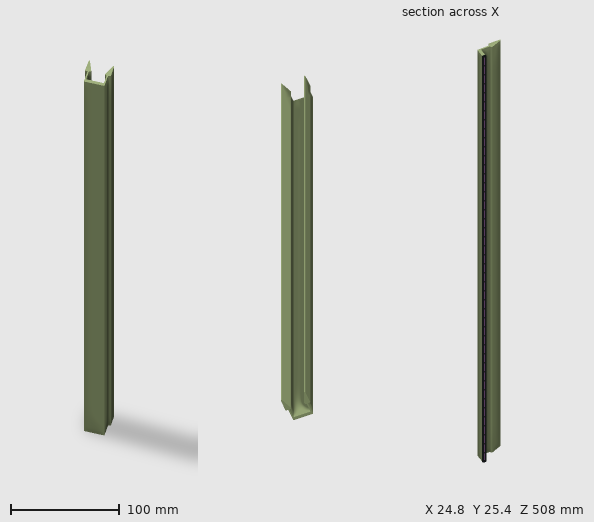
import math

import cadquery as cq

LENGTH = 508.0
OVERALL_WIDTH = 24.82
OVERALL_DEPTH = 25.4

CHANNEL_WIDTH = 19.74
WALL_THICKNESS = 1.37
BASE_THICKNESS = 3.16

BARB_HEIGHT = 12.72
BARB_WIDTH = 5.72
OUTER_FOOT_RADIUS = 0.59
INNER_FOOT_RADIUS = 1.19
TIP_RADIUS = 0.58
TIP_SETBACK = 0.22

base_y = -OVERALL_DEPTH / 2
floor_y = base_y + BASE_THICKNESS
tip_y = OVERALL_DEPTH / 2
shoulder_y = tip_y - BARB_HEIGHT
wall_top_y = shoulder_y + INNER_FOOT_RADIUS
wall_outer_x = CHANNEL_WIDTH / 2
wall_inner_x = wall_outer_x - WALL_THICKNESS
barb_outer_x = OVERALL_WIDTH / 2
barb_inner_x = barb_outer_x - BARB_WIDTH


def section_plane():
    """Work plane at the lower end of the extrusion."""
    return cq.Workplane("XY", origin=(0, 0, -LENGTH / 2))


def tangent_angle(start, end):
    """Direction from both round centres to their outer common tangent, going counter-clockwise."""
    (start_x, start_y, start_radius), (end_x, end_y, end_radius) = start, end
    run = end_x - start_x
    rise = end_y - start_y
    return math.atan2(rise, run) - math.acos((start_radius - end_radius) / math.hypot(run, rise))


def point_on_round(corner, angle):
    """Point on a corner round in the given direction from its centre."""
    x, y, radius = corner
    return (x + radius * math.cos(angle), y + radius * math.sin(angle))


def channel():
    """Base with two upright side walls."""
    right_side = [
        (wall_outer_x, base_y),
        (wall_outer_x, wall_top_y),
        (wall_inner_x, wall_top_y),
        (wall_inner_x, floor_y),
    ]
    left_side = [(-x, y) for x, y in reversed(right_side)]
    return section_plane().polyline(right_side + left_side).close().extrude(LENGTH)


def right_barb():
    """Triangular barb: three corner rounds joined by their common tangents."""
    corners = [
        (barb_outer_x - OUTER_FOOT_RADIUS, shoulder_y + OUTER_FOOT_RADIUS, OUTER_FOOT_RADIUS),
        (barb_outer_x - TIP_SETBACK - TIP_RADIUS, tip_y - TIP_RADIUS, TIP_RADIUS),
        (barb_inner_x + INNER_FOOT_RADIUS, shoulder_y + INNER_FOOT_RADIUS, INNER_FOOT_RADIUS),
    ]
    following = corners[1:] + corners[:1]
    leaving_angles = [tangent_angle(start, end) for start, end in zip(corners, following)]

    arriving_angle = leaving_angles[-1]
    outline = section_plane().moveTo(*point_on_round(corners[0], arriving_angle))
    for corner, next_corner, leaving_angle in zip(corners, following, leaving_angles):
        turn = (leaving_angle - arriving_angle) % (2 * math.pi)
        arc_middle = point_on_round(corner, arriving_angle + turn / 2)
        outline = outline.threePointArc(arc_middle, point_on_round(corner, leaving_angle))
        if next_corner is not corners[0]:
            outline = outline.lineTo(*point_on_round(next_corner, leaving_angle))
        arriving_angle = leaving_angle
    return outline.close().extrude(LENGTH)


barb = right_barb()
result = channel().union(barb).union(barb.mirror("YZ")).clean()